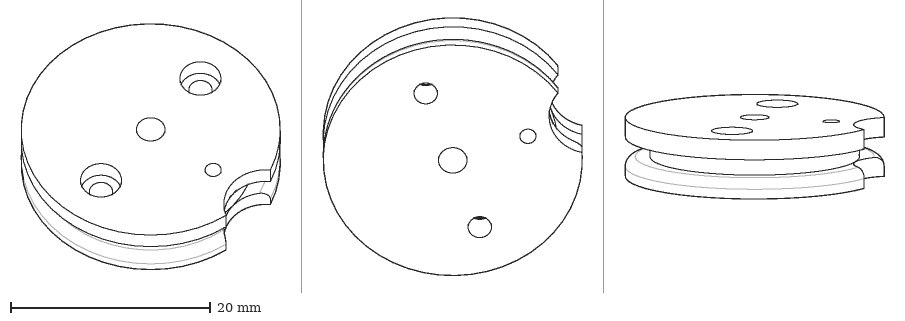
import cadquery as cq

outer_diameter = 25.97
total_height = 6.0
layer_height = total_height / 3
neck_diameter = 21.0
lower_rim_radius = layer_height / 2

center_hole_diameter = 2.85
hole_offset = 8.0
pin_hole_diameter = 1.6
screw_hole_diameter = 2.35
counterbore_diameter = 4.1
counterbore_depth = layer_height

notch_diameter = 8.35
notch_center_x = 14.7


def make_spool():
    """Two flanges joined by a narrower neck, with a rounded lower rim."""
    lower_flange = cq.Workplane("XY").circle(outer_diameter / 2).extrude(layer_height)
    lower_flange = lower_flange.faces(">Z").edges().fillet(lower_rim_radius)
    neck = cq.Workplane("XY").circle(neck_diameter / 2).extrude(total_height)
    upper_flange = (
        cq.Workplane("XY")
        .workplane(offset=2 * layer_height)
        .circle(outer_diameter / 2)
        .extrude(layer_height)
    )
    return lower_flange.union(neck).union(upper_flange)


def through_cylinder(diameter, x, y):
    """Vertical cutter spanning the full height."""
    return cq.Workplane("XY").center(x, y).circle(diameter / 2).extrude(total_height)


result = make_spool()
result = result.cut(through_cylinder(notch_diameter, notch_center_x, 0))
result = result.cut(through_cylinder(center_hole_diameter, 0, 0))
result = result.cut(through_cylinder(pin_hole_diameter, hole_offset, 0))

for screw_y in (-hole_offset, hole_offset):
    counterbore = through_cylinder(counterbore_diameter, 0, screw_y)
    counterbore = counterbore.translate((0, 0, total_height - counterbore_depth))
    result = result.cut(through_cylinder(screw_hole_diameter, 0, screw_y))
    result = result.cut(counterbore)